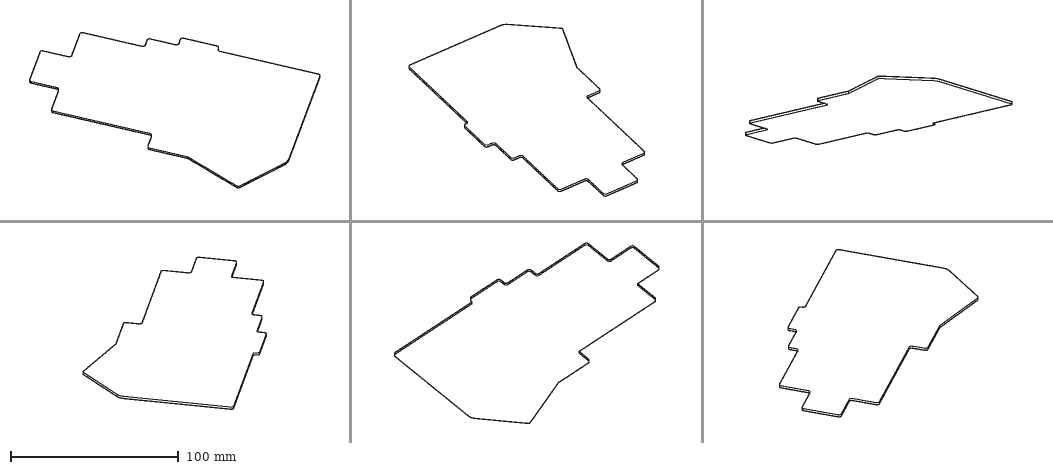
import cadquery as cq

length = 165.5
width = 99.1
thickness = 1.6

corner_radius = 1.5
right_corner_radius = 6.6

body_left = 18.9
tab_bottom = 41.7
tab_top = 66.2

back_left = 86.2
back_middle = 93.0
back_right = 95.7
first_step_x = 58.8
raised_start_x = 77.6
raised_end_x = 101.5

front_left = 23.8
front_right = 13.0
front_step_x = 82.0
slant_start_x = 107.2
tip_x = 142.5
tip_y = -0.28
right_corner_y = 26.5

corners = [
    (0, tab_bottom, corner_radius),
    (body_left, tab_bottom, corner_radius),
    (body_left, front_left, corner_radius),
    (front_step_x, front_left, corner_radius),
    (front_step_x, front_right, corner_radius),
    (slant_start_x, front_right, 0),
    (tip_x, tip_y, corner_radius),
    (length, right_corner_y, right_corner_radius),
    (length, back_right, corner_radius),
    (raised_end_x, back_right, corner_radius),
    (raised_end_x, width, corner_radius),
    (raised_start_x, width, corner_radius),
    (raised_start_x, back_middle, corner_radius),
    (first_step_x, back_middle, corner_radius),
    (first_step_x, back_left, corner_radius),
    (body_left, back_left, corner_radius),
    (body_left, tab_top, corner_radius),
    (0, tab_top, corner_radius),
]


def round_corner(plate, x, y, radius):
    """Round the vertical edge of the plate that stands at (x, y)."""
    corner_edge = cq.selectors.NearestToPointSelector((x, y, thickness / 2))
    return plate.edges("|Z").edges(corner_edge).fillet(radius)


outline = [(x, y) for x, y, _ in corners]
result = cq.Workplane("XY").polyline(outline).close().extrude(thickness)

for corner_x, corner_y, radius in corners:
    if radius > 0:
        result = round_corner(result, corner_x, corner_y, radius)